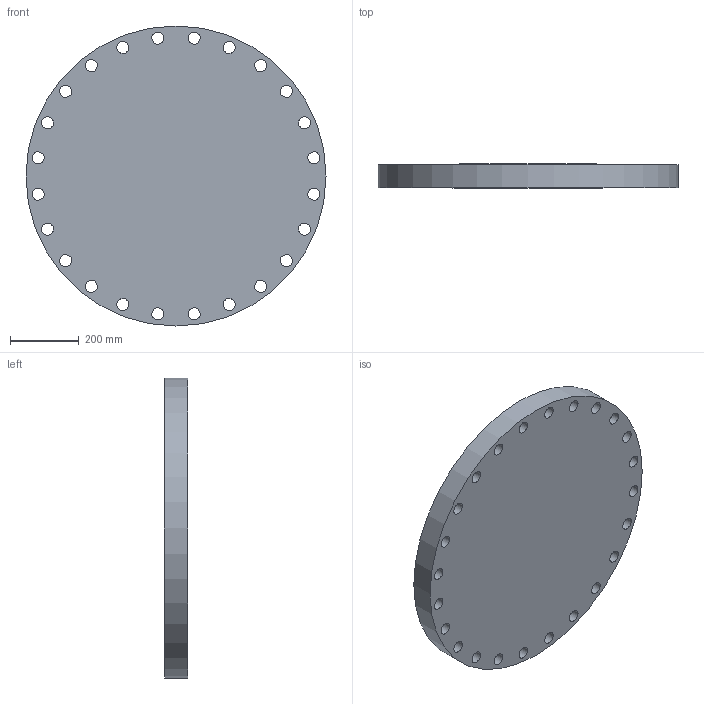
import cadquery as cq

flange_diameter = 869.95
overall_thickness = 68.39
raised_face_diameter = 749.3
raised_face_height = 1.6
body_thickness = overall_thickness - raised_face_height

bolt_count = 24
bolt_hole_diameter = 34.92
bolt_circle_diameter = 806.45
bolt_pitch_angle = 360 / bolt_count
first_bolt_angle = bolt_pitch_angle / 2


def disc(diameter, start_y, thickness):
    """Solid disc on the Y axis, growing from start_y toward +Y."""
    return cq.Workplane("XZ").workplane(offset=-start_y).circle(diameter / 2).extrude(-thickness)


def bolt_holes():
    """Cylinders that pass through the whole flange body at every bolt position."""
    return (
        cq.Workplane("XZ")
        .polarArray(bolt_circle_diameter / 2, first_bolt_angle, 360, bolt_count)
        .circle(bolt_hole_diameter / 2)
        .extrude(-body_thickness)
    )


body = disc(flange_diameter, 0, body_thickness)
raised_face = disc(raised_face_diameter, body_thickness, raised_face_height)

result = body.union(raised_face).cut(bolt_holes())